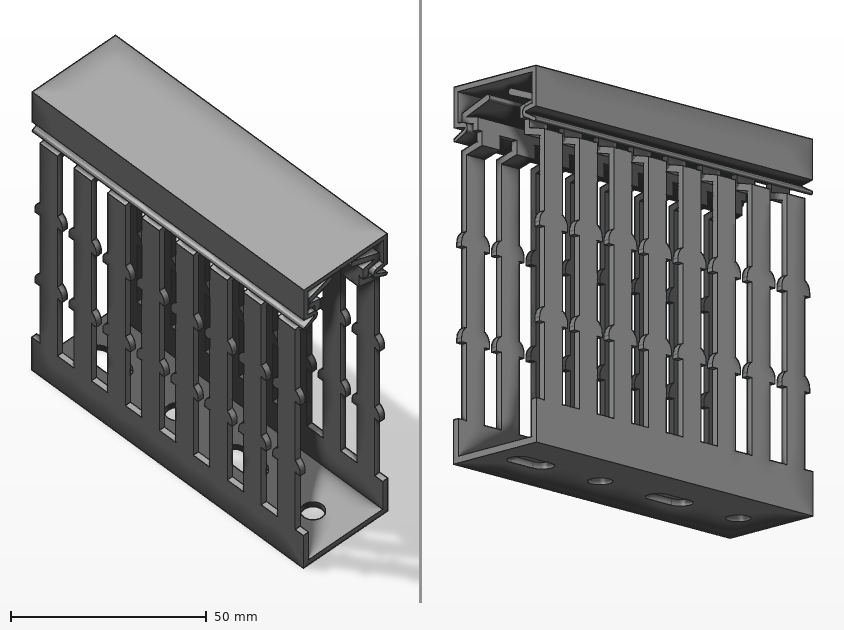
import cadquery as cq
import math


LENGTH = 100.0
HEIGHT = 100.0
HALF_WIDTH = 15.0

WALL = 1.8
FLOOR = 1.8
SHOULDER_Z = 83.7
SHOULDER_RISE = 1.4
NECK_OUTER_Y = 9.5
NECK_THICKNESS = 1.9
NECK_INNER_Y = NECK_OUTER_Y - NECK_THICKNESS
CATCH_Y = 13.4
CATCH_BOTTOM_Z = 90.3
CATCH_TOP_Z = 93.0
CATCH_SLOPE = 0.17
CATCH_NOTCH_Y = 11.7
CATCH_NOTCH_Z = 91.8
NECK_TOP_Z = 90.9
ARM_ANGLE = 160.0
ARM_LENGTH = 9.4
ARM_THICKNESS = 1.8

FINGER_COUNT = 8
FINGER_PITCH = LENGTH / FINGER_COUNT
FINGER_WIDTH = 6.5
BASE_HEIGHT = 11.8
RAIL_BOTTOM_Z = 87.5
RAIL_LENGTH = 97.0
BARB_TOPS = (36.6, 62.0)
BARB_REACH = 1.8
BARB_ARC_HEIGHT = 3.1
BARB_LIP = 1.1

OPENING_PITCH = LENGTH / 4
OPENING_WIDTH = 6.5
SLOT_LENGTH = 14.5
FIRST_SLOT_X = -37.0

LID_HALF_WIDTH = 14.8
LID_TOP = 1.5
LID_SKIRT_Z = 89.2
LIP_NOTCH_Y = 11.0
LIP_NOTCH_TOP_Z = 88.5
LIP_NOTCH_BOTTOM_Z = 88.2
FOLD_TOP_Y = 11.3
FOLD_TIP = (10.0, 88.4)
FOLD_BOTTOM = (10.6, 87.1)
FLAP_ANGLE = -28.0
FLAP_LENGTH = 4.0
FLAP_THICKNESS = 1.0


def catch_underside(y):
    """Height of the sloping face where the lid lip rests under the catch."""
    return CATCH_BOTTOM_Z - CATCH_SLOPE * (CATCH_Y - y)


def mirrored(point):
    """The matching section point on the -Y side."""
    return (-point[0], point[1])


def rounded_end(start, angle, length, thickness):
    """Upper, outermost and lower points of the round end of a sloping strip.

    The strip's upper face begins at start and runs at the given angle from +Y.
    """
    along_y = math.cos(math.radians(angle))
    along_z = math.sin(math.radians(angle))
    side = math.copysign(1, along_y)
    below_y = side * along_z
    below_z = -side * along_y
    radius = thickness / 2
    upper = (start[0] + length * along_y, start[1] + length * along_z)
    middle = (upper[0] + radius * (below_y + along_y), upper[1] + radius * (below_z + along_z))
    lower = (upper[0] + thickness * below_y, upper[1] + thickness * below_z)
    return upper, middle, lower


def duct_section():
    neck_bottom = SHOULDER_Z + SHOULDER_RISE
    inner_y = HALF_WIDTH - WALL
    arm_start = (CATCH_Y, CATCH_TOP_Z)
    upper, middle, lower = rounded_end(arm_start, ARM_ANGLE, ARM_LENGTH, ARM_THICKNESS)
    outside = [
        (HALF_WIDTH, 0),
        (HALF_WIDTH, SHOULDER_Z),
        (NECK_OUTER_Y, neck_bottom),
        (NECK_OUTER_Y, catch_underside(NECK_OUTER_Y)),
        (CATCH_Y, CATCH_BOTTOM_Z),
        arm_start,
        upper,
    ]
    inside = [
        lower,
        (CATCH_NOTCH_Y, CATCH_NOTCH_Z),
        (NECK_INNER_Y, NECK_TOP_Z),
        (NECK_INNER_Y, SHOULDER_Z),
        (inner_y, SHOULDER_Z - SHOULDER_RISE),
        (inner_y, FLOOR),
    ]
    section = cq.Workplane("YZ").workplane(offset=-LENGTH / 2)
    section = section.polyline(outside).threePointArc(middle, lower)
    for point in inside[1:]:
        section = section.lineTo(*point)
    for point in reversed(inside):
        section = section.lineTo(*mirrored(point))
    section = section.threePointArc(mirrored(middle), mirrored(upper))
    for point in reversed(outside[:-1]):
        section = section.lineTo(*mirrored(point))
    return section.close()


def side_panel(length, bottom, top):
    """Block through both side walls, centred on X."""
    return (
        cq.Workplane("XY")
        .workplane(offset=bottom)
        .rect(length, 2 * HALF_WIDTH)
        .extrude(top - bottom)
    )


def finger(x):
    """One finger outline, with its barbs, through both side walls."""
    half = FINGER_WIDTH / 2
    tip = half + BARB_REACH
    radius = (BARB_REACH**2 + BARB_ARC_HEIGHT**2) / (2 * BARB_REACH)
    half_sweep = math.asin(BARB_ARC_HEIGHT / radius) / 2
    arc_x = tip - radius * (1 - math.cos(half_sweep))
    arc_rise = radius * math.sin(half_sweep)

    body = side_panel(FINGER_WIDTH, 0, RAIL_BOTTOM_Z)
    for top in BARB_TOPS:
        arc_z = top - BARB_ARC_HEIGHT
        bottom = arc_z - BARB_LIP
        barb = (
            cq.Workplane("XZ")
            .workplane(offset=-HALF_WIDTH)
            .moveTo(-tip, bottom)
            .lineTo(tip, bottom)
            .lineTo(tip, arc_z)
            .threePointArc((arc_x, arc_z + arc_rise), (half, top))
            .lineTo(-half, top)
            .threePointArc((-arc_x, arc_z + arc_rise), (-tip, arc_z))
            .close()
            .extrude(2 * HALF_WIDTH)
        )
        body = body.union(barb)
    return body.translate((x, 0, 0))


def floor_openings():
    """Lengthwise slots alternating with round holes along the floor."""
    slot_x = [FIRST_SLOT_X, FIRST_SLOT_X + 2 * OPENING_PITCH]
    hole_x = [x + OPENING_PITCH for x in slot_x]
    slots = (
        cq.Workplane("XY")
        .pushPoints([(x, 0) for x in slot_x])
        .slot2D(SLOT_LENGTH, OPENING_WIDTH)
        .extrude(FLOOR)
    )
    holes = (
        cq.Workplane("XY")
        .pushPoints([(x, 0) for x in hole_x])
        .circle(OPENING_WIDTH / 2)
        .extrude(FLOOR)
    )
    return slots.union(holes)


def make_duct():
    outline = side_panel(LENGTH, 0, BASE_HEIGHT)
    outline = outline.union(side_panel(RAIL_LENGTH, RAIL_BOTTOM_Z, HEIGHT))
    for i in range(FINGER_COUNT):
        outline = outline.union(finger((i - (FINGER_COUNT - 1) / 2) * FINGER_PITCH))
    return duct_section().extrude(LENGTH).intersect(outline).cut(floor_openings())


def make_lid():
    flap_start = (LIP_NOTCH_Y, LIP_NOTCH_BOTTOM_Z)
    upper, middle, lower = rounded_end(flap_start, FLAP_ANGLE, FLAP_LENGTH, FLAP_THICKNESS)
    skirt = [
        (LID_HALF_WIDTH, HEIGHT),
        (LID_HALF_WIDTH, LID_SKIRT_Z),
        (LIP_NOTCH_Y, LIP_NOTCH_TOP_Z),
        flap_start,
        upper,
    ]
    fold_top = (FOLD_TOP_Y, catch_underside(FOLD_TOP_Y))
    inside = [
        fold_top,
        (CATCH_Y, CATCH_BOTTOM_Z),
        (CATCH_Y, HEIGHT - LID_TOP),
    ]
    section = cq.Workplane("YZ").workplane(offset=-LENGTH / 2).polyline(skirt)
    section = section.threePointArc(middle, lower).lineTo(*FOLD_BOTTOM)
    section = section.threePointArc(FOLD_TIP, fold_top)
    for point in inside[1:]:
        section = section.lineTo(*point)
    for point in reversed(inside):
        section = section.lineTo(*mirrored(point))
    section = section.threePointArc(mirrored(FOLD_TIP), mirrored(FOLD_BOTTOM))
    section = section.lineTo(*mirrored(lower))
    section = section.threePointArc(mirrored(middle), mirrored(upper))
    for point in reversed(skirt[:-1]):
        section = section.lineTo(*mirrored(point))
    return section.close().extrude(LENGTH)


duct = make_duct()
lid = make_lid()

result = cq.Compound.makeCompound([duct.val(), lid.val()])